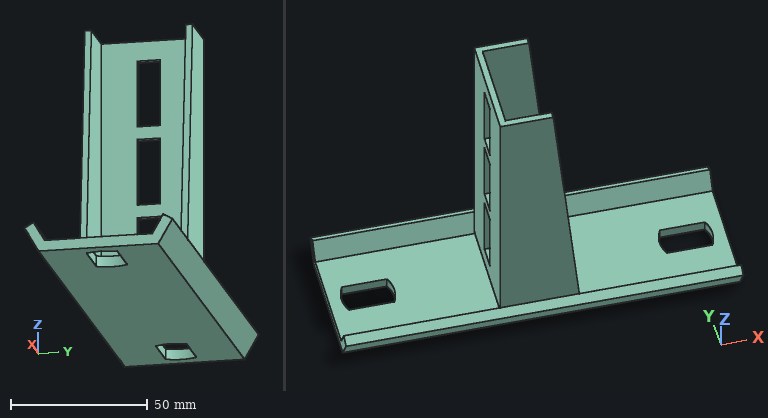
import cadquery as cq
import math

RAIL_LENGTH = 150.0
RAIL_WIDTH = 55.6
RAIL_THICKNESS = 4.0
WALL_LENGTH = 10.6
WALL_ANGLE = math.radians(60)

MOUNT_SLOT_LENGTH = 20.0
MOUNT_SLOT_STRAIGHT = 17.0
MOUNT_SLOT_WIDTH = 11.5
MOUNT_SLOT_INSET = 15.0

OVERALL_HEIGHT = 105.0
POST_GAP = 0.9
POST_WIDTH = 40.5
POST_THICKNESS = 2.5
POST_X = 60.0
FLANGE_TOP_DEPTH = 20.1
FLANGE_BASE_DEPTH = 30.0

WINDOW_COUNT = 3
WINDOW_WIDTH = 8.5
WINDOW_HEIGHT = 25.0
WINDOW_PITCH = 30.0

POST_BASE_Z = RAIL_THICKNESS + POST_GAP


def rail_profile():
    """Closed cross-section of the rail, looking along X."""
    outer_tip_y = RAIL_WIDTH / 2
    outer_tip_z = WALL_LENGTH * math.sin(WALL_ANGLE)
    outer_corner_y = outer_tip_y - WALL_LENGTH * math.cos(WALL_ANGLE)
    inner_tip_y = outer_tip_y - RAIL_THICKNESS * math.sin(WALL_ANGLE)
    inner_tip_z = outer_tip_z + RAIL_THICKNESS * math.cos(WALL_ANGLE)
    inner_corner_y = outer_corner_y - RAIL_THICKNESS * math.tan(WALL_ANGLE / 2)
    half = [
        (outer_corner_y, 0),
        (outer_tip_y, outer_tip_z),
        (inner_tip_y, inner_tip_z),
        (inner_corner_y, RAIL_THICKNESS),
    ]
    mirrored = [(-y, z) for y, z in reversed(half)]
    return cq.Workplane("YZ").polyline(half + mirrored).close()


def mount_slot(center_x):
    """Cutter for one mounting slot through the rail floor."""
    half_length = MOUNT_SLOT_LENGTH / 2
    half_straight = MOUNT_SLOT_STRAIGHT / 2
    half_width = MOUNT_SLOT_WIDTH / 2
    return (
        cq.Workplane("XY", origin=(center_x, 0, 0))
        .moveTo(-half_straight, -half_width)
        .lineTo(half_straight, -half_width)
        .threePointArc((half_length, 0), (half_straight, half_width))
        .lineTo(-half_straight, half_width)
        .threePointArc((-half_length, 0), (-half_straight, -half_width))
        .close()
        .extrude(RAIL_THICKNESS)
    )


def make_rail():
    rail = rail_profile().extrude(RAIL_LENGTH)
    for center_x in (MOUNT_SLOT_INSET, RAIL_LENGTH - MOUNT_SLOT_INSET):
        rail = rail.cut(mount_slot(center_x))
    return rail


def make_post():
    post = (
        cq.Workplane("XZ")
        .moveTo(POST_X, POST_BASE_Z)
        .lineTo(POST_X + FLANGE_BASE_DEPTH, POST_BASE_Z)
        .lineTo(POST_X + FLANGE_TOP_DEPTH, OVERALL_HEIGHT)
        .lineTo(POST_X, OVERALL_HEIGHT)
        .close()
        .extrude(POST_WIDTH / 2, both=True)
    )

    channel = (
        cq.Workplane("XY")
        .box(FLANGE_BASE_DEPTH, POST_WIDTH - 2 * POST_THICKNESS, OVERALL_HEIGHT, centered=(False, True, False))
        .translate((POST_X + POST_THICKNESS, 0, POST_BASE_Z))
    )
    post = post.cut(channel)

    middle_z = (POST_BASE_Z + OVERALL_HEIGHT) / 2
    for index in range(WINDOW_COUNT):
        offset_z = (index - (WINDOW_COUNT - 1) / 2) * WINDOW_PITCH
        window = (
            cq.Workplane("XY")
            .box(POST_THICKNESS, WINDOW_WIDTH, WINDOW_HEIGHT, centered=(False, True, True))
            .translate((POST_X, 0, middle_z + offset_z))
        )
        post = post.cut(window)
    return post


rail = make_rail()
post = make_post()
result = cq.Compound.makeCompound([rail.val(), post.val()])